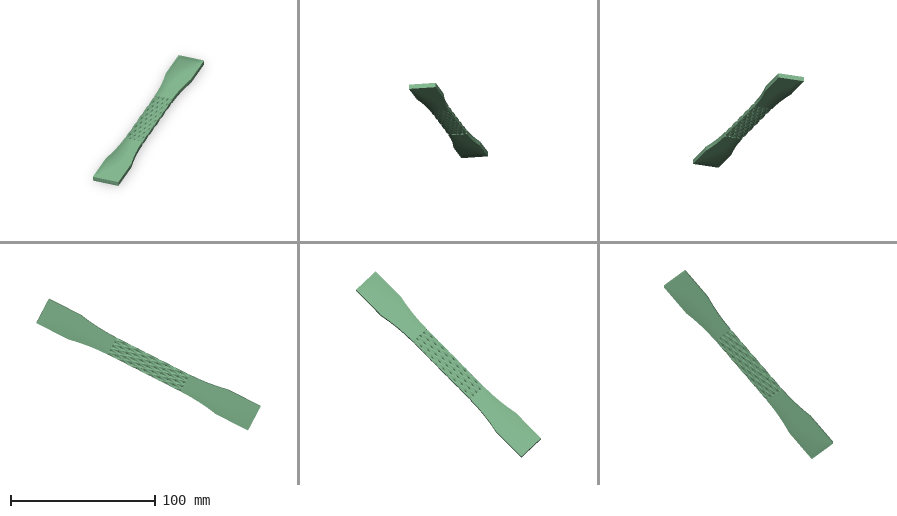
import cadquery as cq
import math

bar_length = 165.0
bar_thickness = 3.1
grip_width = 19.0
grip_length = 25.0
gauge_width = 13.0
gauge_length = 57.1
taper_steps = 4

cells_across = 4
cells_along = 5
lattice_length = 55.6
half_pitch_x = gauge_width / cells_across / 2
half_pitch_y = lattice_length / cells_along / 2

shoulder_scale = 0.29
shoulder_depth = 0.46
web_thickness = 0.1
pit_depth = (bar_thickness - web_thickness) / 2


def taper_points():
    """Points down one taper: flat steps along an arc that runs tangent into the gauge section."""
    run = bar_length / 2 - grip_length - gauge_length / 2
    rise = (grip_width - gauge_width) / 2
    radius = (run**2 + rise**2) / (2 * rise)
    sweep = math.asin(run / radius)
    points = []
    for k in range(taper_steps, -1, -1):
        angle = sweep * k / taper_steps
        x = gauge_width / 2 + radius * (1 - math.cos(angle))
        y = gauge_length / 2 + radius * math.sin(angle)
        points.append((x, y))
    return points


def make_bar():
    """Flat dog-bone blank, centred on the origin."""
    upper_right = [(grip_width / 2, bar_length / 2)] + taper_points()
    lower_right = [(x, -y) for x, y in reversed(upper_right)]
    right_side = upper_right + lower_right
    left_side = [(-x, y) for x, y in reversed(right_side)]
    return (
        cq.Workplane("XY")
        .polyline(right_side + left_side)
        .close()
        .extrude(bar_thickness / 2, both=True)
    )


def flat_face(points):
    """Planar face bounded by straight edges through the points."""
    return cq.Face.makeFromWires(cq.Wire.makePolygon(points, close=True))


def rhombus(scale, z):
    """Corners of a rhombus whose half-diagonals are the half pitches times scale."""
    x = half_pitch_x * scale
    y = half_pitch_y * scale
    return [cq.Vector(x, 0, z), cq.Vector(0, y, z), cq.Vector(-x, 0, z), cq.Vector(0, -y, z)]


def make_pit():
    """Solid that fills one pit in the upper face, centred on the Z axis."""
    z_top = bar_thickness / 2
    mouth = rhombus(1, z_top)
    shoulder = rhombus(shoulder_scale, z_top - shoulder_depth)
    tip = cq.Vector(0, 0, z_top - pit_depth)
    faces = [flat_face(mouth)]
    for k in range(4):
        following = (k + 1) % 4
        faces.append(flat_face([mouth[k], mouth[following], shoulder[following], shoulder[k]]))
        faces.append(flat_face([shoulder[k], shoulder[following], tip]))
    return cq.Solid.makeSolid(cq.Shell.makeShell(faces))


def make_pits():
    """Pits on a staggered grid, on both faces, with the end rows trimmed to the gauge section."""
    upper_pit = make_pit()
    lower_pit = upper_pit.mirror("XY")
    gauge_space = cq.Workplane("XY").box(grip_width, gauge_length, bar_thickness).val()
    pits = []
    for i in range(-cells_across, cells_across + 1):
        for j in range(-cells_along - 1, cells_along + 2):
            if (i + j) % 2 == 0:
                continue
            place = cq.Vector(i * half_pitch_x, j * half_pitch_y, 0)
            for pit in (upper_pit, lower_pit):
                placed = pit.translate(place)
                if abs(j) >= cells_along - 1:
                    placed = placed.intersect(gauge_space)
                pits.append(placed)
    return pits


bar = make_bar().val()
result = cq.Workplane(bar.cut(*make_pits())).solids()